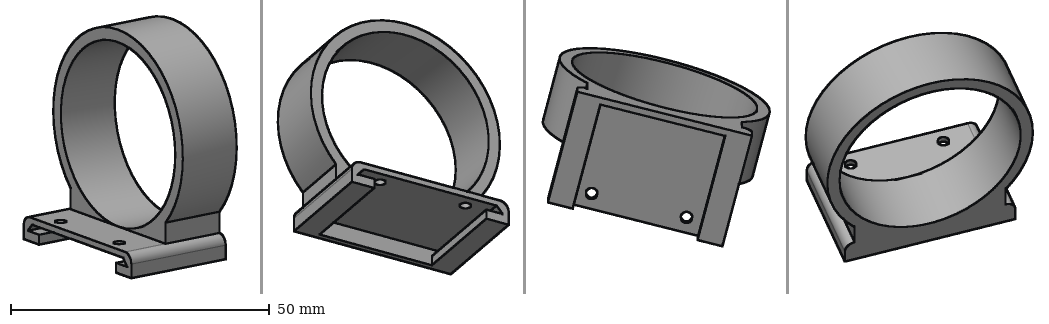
import cadquery as cq

ring_outer_diameter = 42.0
ring_bore_diameter = 37.0
ring_width = 13.0

base_width = 34.85
base_length = 22.75
base_height = 4.85
base_edge_radius = 2.0

pedestal_width = base_width - 2 * base_edge_radius

slot_mouth_width = 24.9
slot_ledge_width = 32.15
slot_roof_width = 29.4
slot_ledge_height = 2.0
slot_roof_height = 3.5
stop_wall_thickness = base_height - slot_roof_height

hole_diameter = 2.2
hole_spacing = 18.95
hole_front_offset = 3.0

ring_center_height = base_height + ring_bore_diameter / 2
ring_front = base_length - ring_width
slot_length = base_length - stop_wall_thickness


def profile_plane(y):
    """Plane parallel to XZ at the given Y, with +X right and +Z up; its normal is -Y."""
    return cq.Workplane("XZ", origin=(0, y, 0))


def make_base():
    block = cq.Workplane("XY").box(base_width, base_length, base_height, centered=(True, False, False))
    return block.edges("|Y and >Z").fillet(base_edge_radius)


def make_ring_and_pedestal():
    ring = (
        profile_plane(ring_front)
        .center(0, ring_center_height)
        .circle(ring_outer_diameter / 2)
        .extrude(-ring_width)
    )
    pedestal = (
        cq.Workplane("XY", origin=(0, ring_front, slot_roof_height))
        .box(
            pedestal_width,
            ring_width,
            ring_center_height - slot_roof_height,
            centered=(True, False, False),
        )
    )
    return ring.union(pedestal)


def make_bore():
    return (
        profile_plane(ring_front)
        .center(0, ring_center_height)
        .circle(ring_bore_diameter / 2)
        .extrude(-ring_width)
    )


def make_slot():
    right_side = [
        (slot_mouth_width / 2, 0),
        (slot_mouth_width / 2, slot_ledge_height),
        (slot_ledge_width / 2, slot_ledge_height),
        (slot_roof_width / 2, slot_roof_height),
    ]
    left_side = [(-x, z) for x, z in reversed(right_side)]
    return profile_plane(0).polyline(right_side + left_side).close().extrude(-slot_length)


def make_screw_holes():
    half_spacing = hole_spacing / 2
    return (
        cq.Workplane("XY")
        .pushPoints([(-half_spacing, hole_front_offset), (half_spacing, hole_front_offset)])
        .circle(hole_diameter / 2)
        .extrude(base_height)
    )


holder = make_ring_and_pedestal().cut(make_bore())
result = holder.union(make_base()).cut(make_slot()).cut(make_screw_holes())